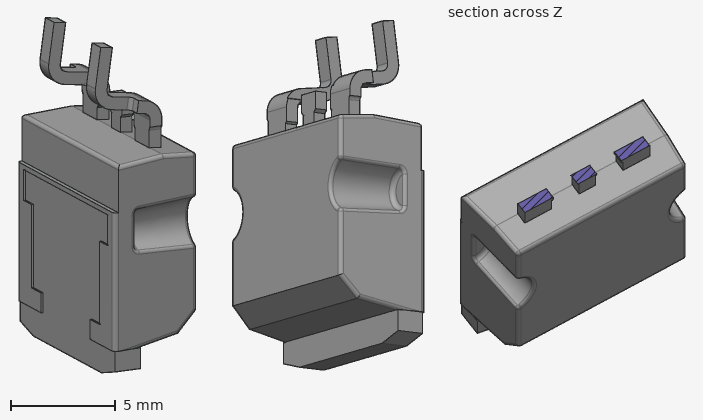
import cadquery as cq
import math


CASE_WIDTH = 10.36
CASE_BACK_Y = 4.6
CASE_BOTTOM_Z = 1.42
RIDGE_Y = 2.72
RIDGE_Z = 10.79
DRAFT = math.radians(5)
CASE_FILLET = 0.2
BACK_BEVEL_Z = 2.82
BEVEL_FOOT_Y = 3.59
BEVEL_FOOT_Z = 1.79
UNDERSIDE_SLOPE = math.radians(10)

PAD_THICKNESS = 0.24
PAD_TOP_Z = 8.28
PAD_EDGE_FILLET = 0.23
WINDOW_DEPTH = 0.1
WINDOW_TOP_Z = 8.04
WINDOW_SHOULDER_Z = 6.52
WINDOW_FOOT_Z = 2.4
WINDOW_HEAD_WIDTH = 8.98
WINDOW_STEM_WIDTH = 7.3
WINDOW_FOOT_WIDTH = 5.24

TAB_WIDTH = 10.14
TAB_THICKNESS = 1.38
TAB_TIP_WIDTH = 7.3
TAB_CORNER_HEIGHT = 0.39

NOTCH_Z = 7.26
NOTCH_BACK_RADIUS = 1.28
NOTCH_FRONT_RADIUS = 1.03
NOTCH_FRONT_Y = 1.16
NOTCH_END_FILLET = 0.25
NOTCH_RIM_FILLET = 0.18

LEAD_BACK_Y = 3.31
LEAD_THICKNESS = 0.63
LEAD_ROOT_Z = 9.5
LEAD_TOP_Z = 15.89
BEND_OUTER_RADIUS = 1.0
BEND_INNER_RADIUS = BEND_OUTER_RADIUS - LEAD_THICKNESS
BEND_START_Z = 12.18
LEAD_FRONT_Y = WINDOW_DEPTH
LEAD_TURN = 82
LEAD_OUTER_X = 3.66
LEAD_TIP_OUTER_X = 2.97
LEAD_TIP_INNER_X = 2.03
LEAD_INNER_X = 1.93
LEAD_STEP = 0.1
OUTER_STEP_Z = 11.84
OUTER_STEP_RADIUS = 0.22
INNER_STEP_Z = 11.48
INNER_STEP_TOP_Z = 12.6
INNER_STEP_FILLET = 0.05
SHOULDER_LENGTH = 0.385
SHOULDER_FILLET = 0.2

STUB_WIDTH = 1.25
STUB_ROOT_WIDTH = 0.94
STUB_TOP_Z = 12.53
STUB_STEP_Z = 11.68

CLEARANCE = 5.0
TOLERANCE = 0.001


def block(x_range, y_range, z_range):
    sizes = [high - low for low, high in (x_range, y_range, z_range)]
    corner = (x_range[0], y_range[0], z_range[0])
    return cq.Workplane("XY").box(*sizes, centered=False).translate(corner)


def mirrored_outline(half_points):
    """Closed outline from its +X half, listed from one end of the centre line to the other."""
    return half_points + [(-x, z) for x, z in reversed(half_points)]


def plate(points, front_y, thickness):
    """Plate with an XZ outline, growing from front_y toward +Y."""
    return cq.Workplane("XZ", origin=(0, front_y, 0)).polyline(points).close().extrude(-thickness)


def make_case():
    front_top_z = RIDGE_Z - (RIDGE_Y - PAD_THICKNESS) * math.tan(DRAFT)
    back_top_z = RIDGE_Z - (CASE_BACK_Y - RIDGE_Y) * math.tan(DRAFT)
    front_bottom_z = BEVEL_FOOT_Z - (BEVEL_FOOT_Y - PAD_THICKNESS) * math.tan(UNDERSIDE_SLOPE)
    side_profile = [
        (PAD_THICKNESS, front_bottom_z),
        (PAD_THICKNESS, front_top_z),
        (RIDGE_Y, RIDGE_Z),
        (CASE_BACK_Y, back_top_z),
        (CASE_BACK_Y, BACK_BEVEL_Z),
        (BEVEL_FOOT_Y, BEVEL_FOOT_Z),
    ]
    case = cq.Workplane("YZ").polyline(side_profile).close().extrude(CASE_WIDTH / 2, both=True)

    front_x = CASE_WIDTH / 2
    back_x = front_x - (CASE_BACK_Y - PAD_THICKNESS) * math.tan(DRAFT)
    plan = [
        (-front_x, PAD_THICKNESS),
        (front_x, PAD_THICKNESS),
        (back_x, CASE_BACK_Y),
        (-back_x, CASE_BACK_Y),
    ]
    case = case.intersect(cq.Workplane("XY").polyline(plan).close().extrude(RIDGE_Z + CLEARANCE))

    side_rims = [
        edge
        for edge in case.edges("not |X").vals()
        if edge.Center().y > PAD_THICKNESS + CASE_FILLET
    ]
    long_top_edges = [
        edge
        for edge in case.edges("|X").vals()
        if edge.Center().z > PAD_TOP_Z and abs(edge.Center().y - RIDGE_Y) > CASE_FILLET
    ]
    case = case.newObject(side_rims + long_top_edges).fillet(CASE_FILLET)

    return case.cut(block((-CASE_WIDTH, CASE_WIDTH), (0, CASE_BACK_Y), (0, CASE_BOTTOM_Z)))


def cut_notches(case):
    """Tapered round notches open to the back face, their axes level with the pad sides."""
    profile = [
        (0, NOTCH_FRONT_Y),
        (NOTCH_FRONT_RADIUS, NOTCH_FRONT_Y),
        (NOTCH_BACK_RADIUS, CASE_BACK_Y),
        (0, CASE_BACK_Y),
    ]
    cone = cq.Workplane("XY").polyline(profile).close().revolve(360, (0, 0, 0), (0, 1, 0))
    cone = cone.faces("<Y").edges().fillet(NOTCH_END_FILLET)
    for side in (-1, 1):
        case = case.cut(cone.translate((side * CASE_WIDTH / 2, 0, NOTCH_Z)))

    def on_notch_rim(edge):
        """True for the edges where a notch meets a drafted side, clear of the case's own roundings."""
        middle = edge.positionAt(0.5)
        side_x = CASE_WIDTH / 2 - (middle.y - PAD_THICKNESS) * math.tan(DRAFT)
        within_height = abs(middle.z - NOTCH_Z) < NOTCH_BACK_RADIUS
        within_depth = PAD_THICKNESS + CASE_FILLET < middle.y < CASE_BACK_Y - CASE_FILLET
        return within_height and within_depth and abs(abs(middle.x) - side_x) < TOLERANCE

    rim = [edge for edge in case.edges().vals() if on_notch_rim(edge)]
    return case.newObject(rim).fillet(NOTCH_RIM_FILLET)


def make_pad():
    pad = block((-CASE_WIDTH / 2, CASE_WIDTH / 2), (0, PAD_THICKNESS), (CASE_BOTTOM_Z, PAD_TOP_Z))
    pad = pad.faces("<Y").edges("|Z").fillet(PAD_EDGE_FILLET)
    window = mirrored_outline([
        (WINDOW_FOOT_WIDTH / 2, CASE_BOTTOM_Z),
        (WINDOW_FOOT_WIDTH / 2, WINDOW_FOOT_Z),
        (WINDOW_STEM_WIDTH / 2, WINDOW_FOOT_Z),
        (WINDOW_STEM_WIDTH / 2, WINDOW_SHOULDER_Z),
        (WINDOW_HEAD_WIDTH / 2, WINDOW_SHOULDER_Z),
        (WINDOW_HEAD_WIDTH / 2, WINDOW_TOP_Z),
    ])
    return pad.cut(plate(window, 0, WINDOW_DEPTH))


def make_tab():
    outline = mirrored_outline([
        (TAB_TIP_WIDTH / 2, 0),
        (TAB_WIDTH / 2, TAB_CORNER_HEIGHT),
        (TAB_WIDTH / 2, CASE_BOTTOM_Z),
    ])
    return plate(outline, WINDOW_DEPTH, TAB_THICKNESS)


def polar(center, radius, degrees):
    angle = math.radians(degrees)
    return (center[0] + radius * math.cos(angle), center[1] + radius * math.sin(angle))


def lead_profile():
    """Side profile (YZ) of a formed lead: up, forward through one bend, up again through another."""
    turn = math.radians(LEAD_TURN)
    first = (LEAD_BACK_Y - BEND_OUTER_RADIUS, BEND_START_Z)
    second_y = LEAD_FRONT_Y + BEND_OUTER_RADIUS
    rise = (BEND_OUTER_RADIUS + BEND_INNER_RADIUS - (second_y - first[0]) * math.cos(turn)) / math.sin(turn)
    second = (second_y, first[1] + rise)

    second_start = LEAD_TURN + 180
    second_end = LEAD_TURN + 90
    second_middle = (second_start + second_end) / 2
    front_tangent = polar(second, BEND_OUTER_RADIUS, second_end)
    tip_length = (LEAD_TOP_Z - front_tangent[1]) / math.sin(turn)
    tip_inner = polar(polar(second, BEND_INNER_RADIUS, second_end), tip_length, LEAD_TURN)
    tip_outer = polar(front_tangent, tip_length, LEAD_TURN)

    profile = (
        cq.Workplane("YZ")
        .moveTo(LEAD_BACK_Y, LEAD_ROOT_Z)
        .lineTo(LEAD_BACK_Y, BEND_START_Z)
        .threePointArc(
            polar(first, BEND_OUTER_RADIUS, LEAD_TURN / 2),
            polar(first, BEND_OUTER_RADIUS, LEAD_TURN),
        )
        .lineTo(*polar(second, BEND_INNER_RADIUS, second_start))
        .threePointArc(
            polar(second, BEND_INNER_RADIUS, second_middle),
            polar(second, BEND_INNER_RADIUS, second_end),
        )
        .lineTo(*tip_inner)
        .lineTo(*tip_outer)
        .lineTo(*front_tangent)
        .threePointArc(
            polar(second, BEND_OUTER_RADIUS, second_middle),
            polar(second, BEND_OUTER_RADIUS, second_start),
        )
        .lineTo(*polar(first, BEND_INNER_RADIUS, LEAD_TURN))
        .threePointArc(
            polar(first, BEND_INNER_RADIUS, LEAD_TURN / 2),
            polar(first, BEND_INNER_RADIUS, 0),
        )
        .lineTo(LEAD_BACK_Y - LEAD_THICKNESS, LEAD_ROOT_Z)
        .close()
    )
    return profile, polar(first, BEND_OUTER_RADIUS, LEAD_TURN)


def make_lead():
    """The +X lead, trimmed to its stepped widths from a strip of full width."""
    profile, shoulder_start = lead_profile()
    lead = profile.extrude(LEAD_OUTER_X - LEAD_INNER_X).translate((LEAD_INNER_X, 0, 0))

    turn = math.radians(LEAD_TURN)
    slant = cq.Plane((0, *shoulder_start), xDir=(1, 0, 0), normal=(0, math.cos(turn), math.sin(turn)))
    far = SHOULDER_LENGTH + CLEARANCE
    shoulder_cut = (
        cq.Workplane(slant)
        .moveTo(LEAD_TIP_OUTER_X, -far)
        .lineTo(LEAD_TIP_OUTER_X, -SHOULDER_LENGTH)
        .lineTo(LEAD_OUTER_X + CLEARANCE, -SHOULDER_LENGTH)
        .lineTo(LEAD_OUTER_X + CLEARANCE, -far)
        .close()
        .extrude(CLEARANCE, both=True)
    )
    corner_y, corner_z = polar(shoulder_start, SHOULDER_LENGTH, LEAD_TURN + 90)
    corner = cq.selectors.NearestToPointSelector((LEAD_TIP_OUTER_X, corner_y, corner_z))
    shoulder_cut = shoulder_cut.edges(corner).fillet(SHOULDER_FILLET)
    lead = lead.cut(shoulder_cut)

    inner_top_cut = block((0, LEAD_TIP_INNER_X), (0, CASE_BACK_Y), (INNER_STEP_TOP_Z, LEAD_TOP_Z))
    inner_top_cut = inner_top_cut.faces("<Z").edges(">X").fillet(INNER_STEP_FILLET)
    lead = lead.cut(inner_top_cut)

    inner_root_x = LEAD_INNER_X + LEAD_STEP
    inner_cut = [
        (0, INNER_STEP_Z),
        (LEAD_INNER_X, INNER_STEP_Z),
        (inner_root_x, INNER_STEP_Z - LEAD_STEP),
        (inner_root_x, LEAD_ROOT_Z),
        (0, LEAD_ROOT_Z),
    ]
    lead = lead.cut(plate(inner_cut, 0, CASE_BACK_Y))

    outer_root_x = LEAD_OUTER_X - LEAD_STEP
    sweep = math.degrees(math.acos(1 - LEAD_STEP / OUTER_STEP_RADIUS))
    arc_start_z = OUTER_STEP_Z - OUTER_STEP_RADIUS * math.sin(math.radians(sweep))
    arc_center = (outer_root_x + OUTER_STEP_RADIUS, arc_start_z)
    outer_cut = (
        cq.Workplane("XZ")
        .moveTo(outer_root_x, LEAD_ROOT_Z)
        .lineTo(outer_root_x, arc_start_z)
        .threePointArc(
            polar(arc_center, OUTER_STEP_RADIUS, 180 - sweep / 2),
            polar(arc_center, OUTER_STEP_RADIUS, 180 - sweep),
        )
        .lineTo(LEAD_OUTER_X + CLEARANCE, OUTER_STEP_Z)
        .lineTo(LEAD_OUTER_X + CLEARANCE, LEAD_ROOT_Z)
        .close()
        .extrude(-CASE_BACK_Y)
    )
    return lead.cut(outer_cut)


def make_stub():
    step = (STUB_WIDTH - STUB_ROOT_WIDTH) / 2
    outline = mirrored_outline([
        (STUB_ROOT_WIDTH / 2, LEAD_ROOT_Z),
        (STUB_ROOT_WIDTH / 2, STUB_STEP_Z - step),
        (STUB_WIDTH / 2, STUB_STEP_Z),
        (STUB_WIDTH / 2, STUB_TOP_Z),
    ])
    return plate(outline, LEAD_BACK_Y - LEAD_THICKNESS, LEAD_THICKNESS)


right_lead = make_lead()
left_lead = right_lead.mirror("YZ")

result = cut_notches(make_case())
for feature in (make_pad(), make_tab(), make_stub(), right_lead, left_lead):
    result = result.union(feature)